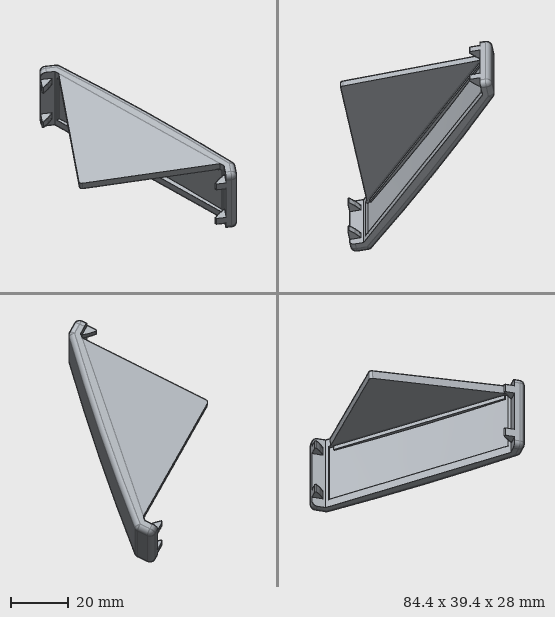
import cadquery as cq
import math

overall_length = 84.4
overall_depth = 39.4
height = 28.0
wall = 3.0
edge_radius = 2.0
bow = 0.85
inner_y = -4.8
inner_corner_x = 36.7
wing_thickness = 4.0

pocket_half_length = 35.7
block_half_length = 33.9
block_bottom = height - 4.6
block_front_y = -4.2

shelf_slope = 4.0
shelf_tip_radius = 1.0

hook_height = wall
hook_margin = 3.5
hook_tip_y = -10.7
hook_inner_x = 37.15
hook_root_x = 37.4
hook_tip_flat = 0.6

wing_inner_offset = inner_corner_x + inner_y
wing_outer_offset = wing_inner_offset + wing_thickness * math.sqrt(2)

end_corner_x = overall_length / 2 + edge_radius * (math.sqrt(2) - 1)
end_corner_y = wing_outer_offset - end_corner_x
end_face_sum = end_corner_x - end_corner_y
end_inner_x = (end_face_sum + wing_inner_offset) / 2
end_inner_y = wing_inner_offset - end_inner_x
back_corner_x = wing_outer_offset + bow
back_radius = (back_corner_x**2 + bow**2) / (2 * bow)


def box(half_length, y_front, y_back, z_bottom, z_top):
    """Box symmetric about X = 0."""
    return (
        cq.Workplane("XY", origin=(0, 0, z_bottom))
        .moveTo(0, (y_front + y_back) / 2)
        .rect(2 * half_length, y_back - y_front)
        .extrude(z_top - z_bottom)
    )


def make_plate():
    plate = (
        cq.Workplane("XY")
        .moveTo(-back_corner_x, -bow)
        .threePointArc((0, 0), (back_corner_x, -bow))
        .lineTo(end_corner_x, end_corner_y)
        .lineTo(end_inner_x, end_inner_y)
        .lineTo(inner_corner_x, inner_y)
        .lineTo(-inner_corner_x, inner_y)
        .lineTo(-end_inner_x, end_inner_y)
        .lineTo(-end_corner_x, end_corner_y)
        .close()
        .extrude(height)
    )
    outer_corners = [
        (side * x, y, height / 2)
        for side in (-1, 1)
        for x, y in ((back_corner_x, -bow), (end_corner_x, end_corner_y))
    ]
    inner_faces = plate.faces(cq.selectors.NearestToPointSelector((0, inner_y, height / 2)))
    for side in (-1, 1):
        wing_middle = (
            side * (inner_corner_x + end_inner_x) / 2,
            (inner_y + end_inner_y) / 2,
            height / 2,
        )
        inner_faces = inner_faces.add(plate.faces(cq.selectors.NearestToPointSelector(wing_middle)))
    inner_edges = inner_faces.edges().vals()
    rounded = [
        edge for edge in plate.faces("|Z").edges().vals()
        if not any(edge.isSame(other) for other in inner_edges)
    ]
    for corner in outer_corners:
        rounded.append(plate.edges(cq.selectors.NearestToPointSelector(corner)).val())
    return plate.newObject(rounded).fillet(edge_radius)


def make_pocket():
    """Recess whose floor follows the bow of the back."""
    envelope = box(pocket_half_length, inner_y, 0, wall, height - wall)
    floor = (
        cq.Workplane("XY")
        .center(0, -back_radius)
        .circle(back_radius - wall)
        .extrude(height)
    )
    block = box(block_half_length, block_front_y, 0, block_bottom, height)
    return envelope.intersect(floor).cut(block)


def make_shelf():
    sharp_tip_y = -overall_depth - shelf_tip_radius * (math.sqrt(2) - 1)
    half_length = inner_y - sharp_tip_y
    slope = math.radians(shelf_slope)
    tip_distance = half_length / math.cos(slope)
    shelf = (
        cq.Workplane("XY")
        .moveTo(-half_length, 0)
        .lineTo(half_length, 0)
        .lineTo(0, -tip_distance)
        .close()
        .extrude(-wall)
        .edges("|Z and <Y")
        .fillet(shelf_tip_radius)
    )
    root_depth = wall * math.tan(slope)
    root = box(half_length, 0, root_depth, -wall, 0)
    shelf = shelf.union(root).rotate((0, 0, 0), (1, 0, 0), shelf_slope)
    shelf = shelf.translate((0, inner_y, height))
    return shelf.intersect(box(half_length, -overall_depth, 0, 0, height))


def make_hook(side, z_bottom):
    root_y = wing_inner_offset - hook_root_x
    tip_x = end_face_sum + hook_tip_y
    outline = [
        (end_inner_x, end_inner_y),
        (tip_x, hook_tip_y),
        (tip_x - hook_tip_flat, hook_tip_y),
        (hook_inner_x, (root_y + hook_tip_y) / 2),
        (hook_root_x, root_y),
    ]
    return (
        cq.Workplane("XY", origin=(0, 0, z_bottom))
        .polyline([(side * x, y) for x, y in outline])
        .close()
        .extrude(hook_height)
    )


result = make_plate().cut(make_pocket()).union(make_shelf())
for hook_side in (-1, 1):
    for hook_bottom in (hook_margin, height - hook_margin - hook_height):
        result = result.union(make_hook(hook_side, hook_bottom))